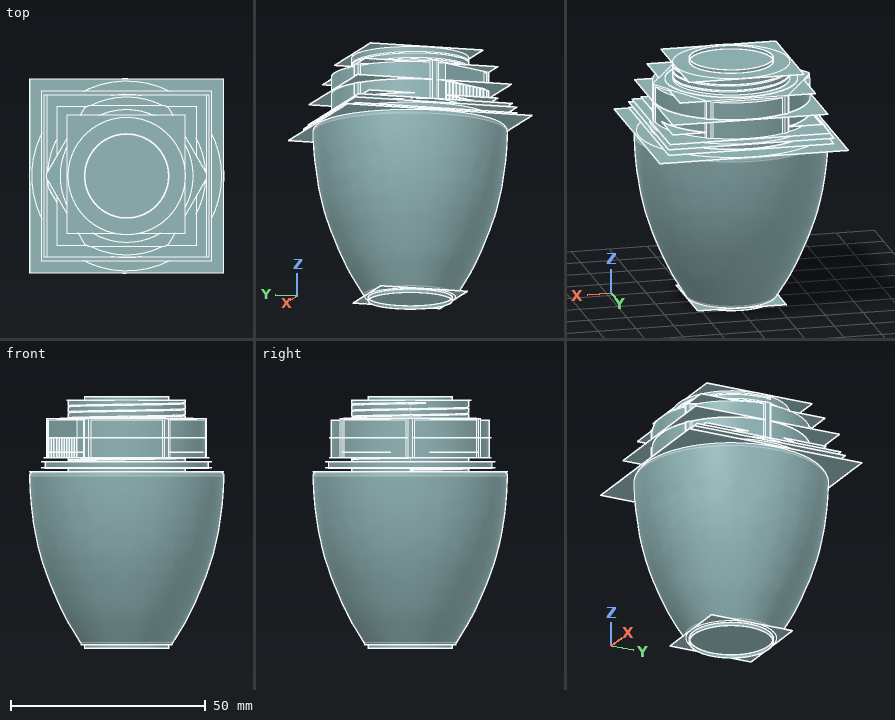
import cadquery as cq
import math

total_height = 64.6
collar_height = 0.9
shell_rim_z = 44.2
flange_z = 45.35
ring_bottom_z = 46.2
ring_top_z = 47.9
nut_bottom_z = 48.8
nut_seat_z = 50.3
nut_middle_z = 54.0
nut_shelf_z = 58.6
nut_top_z = 59.0
nut_land_z = 59.15
neck_top_z = total_height - collar_height

plate_thickness = 0.1
flange_plate_size = 49.8
ring_plate_size = 43.6
neck_plate_size = 30.35
neck_plate_center = (-0.2, 0.45)
foot_plate_size = 23.4
nut_top_plate_size = 35.8
nut_plate_width_y = 41.45
nut_middle_plate_width_x = 40.95
nut_bottom_plate_width_x = 42.35
nut_seat_plate_width_x = 39.25
nut_seat_plate_width_y = 34.6

rim_radius = 25.0
rim_rounding = flange_z - shell_rim_z
flange_radius = rim_radius - rim_rounding
foot_radius = 11.55
foot_edge_radius = 11.95
foot_edge_z = 1.55
wall_points = [(16.15, 8.65), (19.3, 15.7), (21.8, 22.65), (24.1, 33.1)]
collar_radius = 10.85
collar_wall = 0.1

neck_radius = 15.05
thread_pitch = 1.55
thread_depth = 0.8
thread_width = 0.5
thread_start_z = 45.85
thread_end_z = 62.95

ring_radius = 21.0
nut_round_radius = 20.3
nut_corner_radius = 20.55
nut_land_radius = 17.05
hex_apothem = 18.1
flat_apothem = 18.9
flat_angle = 210.0
groove_count = 11
groove_pitch = 1.3
groove_width = 1.05
groove_depth = 0.5


def disk(radius, bottom_z, top_z):
    return cq.Workplane("XY").workplane(offset=bottom_z).circle(radius).extrude(top_z - bottom_z)


def plate(width_x, width_y, bottom_z, center=(0, 0)):
    base = cq.Workplane("XY").workplane(offset=bottom_z).center(*center)
    return base.rect(width_x, width_y).extrude(plate_thickness)


def bored(body, bottom_z, top_z):
    """Open the body from top to bottom so that the neck fits through it."""
    return body.cut(disk(neck_radius, bottom_z, top_z))


def collar(bottom_z):
    """Thin upright wall around a shallow round recess."""
    top_z = bottom_z + collar_height
    return disk(collar_radius, bottom_z, top_z).cut(disk(collar_radius - collar_wall, bottom_z, top_z))


def thread_groove():
    """Right-handed V groove whose profile starts just outside the neck surface."""
    path = cq.Wire.makeHelix(
        thread_pitch, thread_end_z - thread_start_z, neck_radius, center=cq.Vector(0, 0, thread_start_z)
    )
    half_width = thread_width / 2
    mouth_radius = neck_radius + thread_depth / 2
    profile = (
        cq.Workplane("XZ")
        .moveTo(mouth_radius, thread_start_z - half_width)
        .lineTo(neck_radius - thread_depth, thread_start_z)
        .lineTo(mouth_radius, thread_start_z + half_width)
        .close()
    )
    return profile.sweep(path, isFrenet=True)


def make_shell():
    cup = (
        cq.Workplane("XZ")
        .moveTo(0, collar_height)
        .lineTo(foot_radius, collar_height)
        .lineTo(foot_edge_radius, foot_edge_z)
        .spline([*wall_points, (rim_radius, shell_rim_z)], includeCurrent=True)
        .radiusArc((flange_radius, flange_z), -rim_rounding)
        .lineTo(0, flange_z)
        .close()
        .revolve(360, (0, 0, 0), (0, 1, 0))
    )
    neck = disk(neck_radius, flange_z, neck_top_z).cut(thread_groove())
    return (
        cup.union(neck)
        .union(collar(0))
        .union(collar(neck_top_z))
        .union(plate(foot_plate_size, foot_plate_size, collar_height))
        .union(plate(flange_plate_size, flange_plate_size, flange_z - plate_thickness))
        .union(plate(neck_plate_size, neck_plate_size, neck_top_z - plate_thickness, neck_plate_center))
    )


def make_ring():
    body = (
        disk(ring_radius, ring_bottom_z, ring_top_z)
        .union(plate(ring_plate_size, ring_plate_size, ring_bottom_z + plate_thickness))
        .union(plate(ring_plate_size, ring_plate_size, ring_top_z - plate_thickness))
    )
    return bored(body, ring_bottom_z, ring_top_z)


def marked_flat_cut():
    """Material outside the flat on the round part of the nut, plus its row of upright V grooves."""
    height = nut_shelf_z - nut_bottom_z
    outside_depth = nut_corner_radius - flat_apothem
    half_length = math.sqrt(nut_round_radius**2 - flat_apothem**2)
    cut = (
        cq.Workplane("XY")
        .workplane(offset=nut_bottom_z)
        .center(flat_apothem + outside_depth / 2, 0)
        .rect(outside_depth, 2 * half_length)
        .extrude(height)
    )
    for index in range(groove_count):
        middle = (index - (groove_count - 1) / 2) * groove_pitch
        groove = (
            cq.Workplane("XY")
            .workplane(offset=nut_bottom_z)
            .moveTo(flat_apothem, middle - groove_width / 2)
            .lineTo(flat_apothem - groove_depth, middle)
            .lineTo(flat_apothem, middle + groove_width / 2)
            .close()
            .extrude(nut_middle_z - nut_bottom_z)
        )
        cut = cut.union(groove)
    return cut.rotate((0, 0, 0), (0, 0, 1), flat_angle)


def make_nut():
    hexagon = (
        cq.Workplane("XY")
        .workplane(offset=nut_bottom_z)
        .polygon(6, 2 * hex_apothem / math.cos(math.pi / 6))
        .extrude(nut_top_z - nut_bottom_z)
        .intersect(disk(nut_corner_radius, nut_bottom_z, nut_top_z))
    )
    grip = disk(nut_round_radius, nut_bottom_z, nut_shelf_z).cut(marked_flat_cut())
    body = (
        grip.union(hexagon)
        .union(disk(nut_land_radius, nut_bottom_z, nut_land_z))
        .union(plate(nut_seat_plate_width_x, nut_seat_plate_width_y, nut_seat_z))
        .union(plate(nut_bottom_plate_width_x, nut_plate_width_y, nut_bottom_z))
        .union(plate(nut_middle_plate_width_x, nut_plate_width_y, nut_middle_z))
        .union(plate(nut_top_plate_size, nut_top_plate_size, nut_top_z - plate_thickness))
    )
    return bored(body, nut_bottom_z, nut_land_z)


shell = make_shell()
ring = make_ring()
nut = make_nut()

result = cq.Compound.makeCompound([shell.val(), ring.val(), nut.val()])